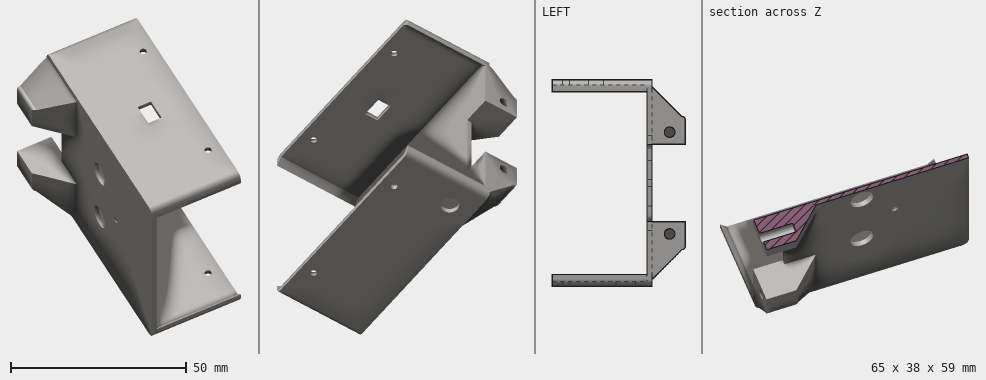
import cadquery as cq

length = 65.0
height = 59.0
shell_depth = 28.5
wall = 1.5
corner_radius = 2.0
lip = corner_radius + wall

bracket_reach = 9.5
bracket_flat = 9.0
bracket_length = bracket_flat + bracket_reach
bracket_inner_z = 40.5
ramp_start_z = height - corner_radius
bracket_edge_radius = 1.0
bracket_corner_radius = lip
bracket_hole_diameter = 3.0
bracket_hole_depth = 10.0
bracket_hole_offset = 5.0
bracket_hole_z = 44.0

port_diameter = 7.0
port_spacing = 20.0
small_hole_diameter = 2.0
pilot_offset = 10.0

rear_hole_spacing = 40.0
rear_hole_inset = 4.0
floor_hole_diameter = 5.5
floor_hole_inset = 21.0
window_length = 6.5
window_width = 4.25
window_inset = 12.5
window_shift = 0.25

mid_x = length / 2
mid_z = height / 2


def rounded_block(radius, y_start, y_end):
    """Block of the full length and height with its four Y edges rounded."""
    return (
        cq.Workplane("XY")
        .box(length, y_end - y_start, height, centered=False)
        .translate((0, y_start, 0))
        .edges("|Y")
        .fillet(radius)
    )


def y_cylinder(diameter, x, z):
    """Cutter through the front wall."""
    cylinder = cq.Solid.makeCylinder(diameter / 2, wall, cq.Vector(x, 0, z), cq.Vector(0, 1, 0))
    return cq.Workplane(obj=cylinder)


def z_cylinder(diameter, x, y, z_start, z_length):
    """Vertical cutter for the top and bottom walls."""
    cylinder = cq.Solid.makeCylinder(diameter / 2, z_length, cq.Vector(x, y, z_start))
    return cq.Workplane(obj=cylinder)


def make_channel():
    """Front, top and bottom walls, open at the back and at both X ends."""
    opening = (
        cq.Workplane("XZ", origin=(0, shell_depth, 0))
        .moveTo(0, lip)
        .lineTo(corner_radius, wall)
        .lineTo(length - corner_radius, wall)
        .lineTo(length, lip)
        .lineTo(length, height - lip)
        .lineTo(length - corner_radius, height - wall)
        .lineTo(corner_radius, height - wall)
        .lineTo(0, height - lip)
        .close()
        .extrude(shell_depth - wall)
    )
    notch_height = 2 * bracket_inner_z - height
    notch = (
        cq.Workplane("XY")
        .box(bracket_flat, wall, notch_height, centered=False)
        .translate((0, 0, height - bracket_inner_z))
    )
    return rounded_block(corner_radius, 0, shell_depth).cut(opening).cut(notch)


def make_upper_bracket():
    """Bracket ramped on top and towards +X, with a blind hole in its -X face."""
    edge_z = ramp_start_z - bracket_reach
    half_root = bracket_edge_radius * 0.5 ** 0.5
    edge_center_y = -bracket_reach + bracket_edge_radius
    side_profile = (
        cq.Workplane("YZ")
        .moveTo(wall, bracket_inner_z)
        .lineTo(wall, ramp_start_z)
        .lineTo(0, ramp_start_z)
        .lineTo(edge_center_y, edge_z + bracket_edge_radius)
        .threePointArc((edge_center_y - half_root, edge_z + half_root), (-bracket_reach, edge_z))
        .lineTo(-bracket_reach, bracket_inner_z)
        .close()
        .extrude(bracket_length)
    )
    plan_profile = (
        cq.Workplane("XY")
        .moveTo(0, wall)
        .lineTo(0, -bracket_reach)
        .lineTo(bracket_flat, -bracket_reach)
        .lineTo(bracket_length, 0)
        .lineTo(bracket_length, wall)
        .close()
        .extrude(height)
    )
    hole = cq.Workplane(
        obj=cq.Solid.makeCylinder(
            bracket_hole_diameter / 2,
            bracket_hole_depth,
            cq.Vector(0, -bracket_hole_offset, bracket_hole_z),
            cq.Vector(1, 0, 0),
        )
    )
    outer_limit = rounded_block(bracket_corner_radius, -bracket_reach, wall)
    return side_profile.intersect(plan_profile).intersect(outer_limit).cut(hole)


def cut_front_holes(body):
    """Two ports, one above the other, and a small hole beside them."""
    for side in (-1, 1):
        body = body.cut(y_cylinder(port_diameter, mid_x, mid_z + side * port_spacing / 2))
    return body.cut(y_cylinder(small_hole_diameter, mid_x + pilot_offset, mid_z))


def cut_top_and_bottom(body):
    """Rear holes through both walls, one floor hole and the window in the top wall."""
    for side in (-1, 1):
        rear_x = mid_x + side * rear_hole_spacing / 2
        rear_y = shell_depth - rear_hole_inset
        body = body.cut(z_cylinder(small_hole_diameter, rear_x, rear_y, 0, height))
    floor_y = shell_depth - floor_hole_inset
    body = body.cut(z_cylinder(floor_hole_diameter, bracket_length / 2, floor_y, 0, wall))
    window = (
        cq.Workplane("XY")
        .box(window_length, window_width, wall)
        .translate((mid_x + window_shift, shell_depth - window_inset, height - wall / 2))
    )
    return body.cut(window)


upper_bracket = make_upper_bracket()
lower_bracket = upper_bracket.mirror("XY", (0, 0, mid_z))
body = make_channel().union(upper_bracket).union(lower_bracket)
result = cut_top_and_bottom(cut_front_holes(body))